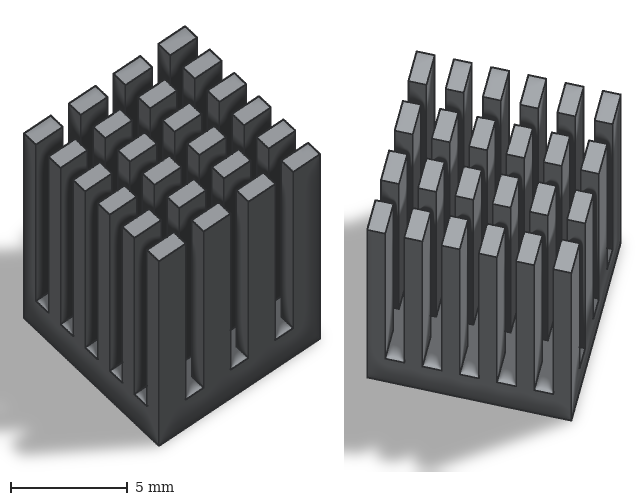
import cadquery as cq

side = 9.0
total_height = 13.0
base_height = 2.0

pins_x = 6
pins_y = 4
pin_width_x = 0.8
pin_width_y = 1.5

pitch_x = (side - pin_width_x) / (pins_x - 1)
pitch_y = (side - pin_width_y) / (pins_y - 1)
pin_height = total_height - base_height


def make_base():
    """Square plate centred on the Z axis, standing on Z = 0."""
    return cq.Workplane("XY").box(side, side, base_height, centered=(True, True, False))


def add_pins(base):
    """Raise the centred grid of pins from the top of the base."""
    return (
        base.faces(">Z")
        .workplane()
        .rarray(pitch_x, pitch_y, pins_x, pins_y)
        .rect(pin_width_x, pin_width_y)
        .extrude(pin_height)
    )


result = add_pins(make_base())